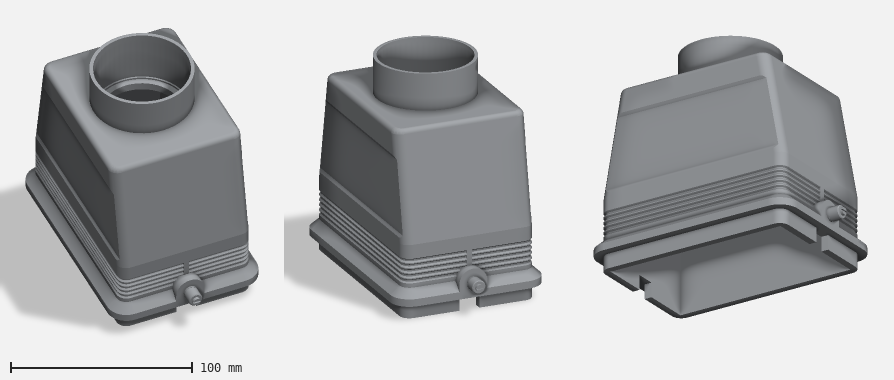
import cadquery as cq
import math

total_height = 129.0
roof_top = 107.2
taper_start = 43.3

body_length = 121.0
body_width = 79.2
roof_length = 97.2
corner_radius = 6.0
roof_fillet = 3.0

flange_width = 90.0
flange_overhang = (flange_width - body_width) / 2
flange_length = body_length + 2 * flange_overhang
flange_bottom = 8.9
flange_edge_top = 13.2
flange_top = 18.0

groove_count = 5
groove_pitch = 3.0
first_groove_center = 21.8
groove_floor = 0.9
groove_flank = 0.8
groove_depth = 0.98
web_width = 3.0

panel_depth = 0.98
panel_bottom = 46.2
panel_top = 92.0
panel_bevel = 2.0

lug_radius = 8.5
pin_height = 17.5
pin_diameter = 8.0
pin_shoulder = 73.6
pin_chamfer = 0.5
pin_reach = 75.2
tip_diameter = 4.4
tip_slot_width = 1.0
tip_slot_depth = 0.9
pin_groove_start = 66.8
pin_groove_width = 0.5
pin_groove_depth = 0.2

neck_diameter = 58.1
bore_diameter = 54.0
bore_seat_diameter = 52.0
cable_hole_diameter = 45.2
ledge_height = 98.5
seat_height = 97.4

wall = 4.5
notch_width = 11.9

cutter_margin = 3.0

end_face = flange_length / 2
lean_angle = math.atan2((body_length - roof_length) / 2, roof_top - taper_start)


def rounded_block(length, width, radius, bottom, height, taper=0):
    """Rectangle with rounded corners, extruded upward from a given height."""
    outline = cq.Sketch().rect(length, width).vertices().fillet(radius)
    return cq.Workplane("XY", origin=(0, 0, bottom)).placeSketch(outline).extrude(height, taper=taper)


def hood_block(base_length, upper_length, width, top):
    """House-shaped X-Z profile extruded symmetrically across the width."""
    return (
        cq.Workplane("XZ")
        .moveTo(-base_length / 2, 0)
        .lineTo(base_length / 2, 0)
        .lineTo(base_length / 2, taper_start)
        .lineTo(upper_length / 2, top)
        .lineTo(-upper_length / 2, top)
        .lineTo(-base_length / 2, taper_start)
        .close()
        .extrude(width / 2, both=True)
    )


def make_body():
    block = hood_block(body_length, roof_length, body_width, roof_top)
    rounded = block.edges("not (|X or |Y)").fillet(corner_radius)
    return rounded.faces(">Z").edges().fillet(roof_fillet)


def make_flange():
    blank = rounded_block(flange_length, flange_width, corner_radius + flange_overhang,
                          flange_bottom, flange_top - flange_bottom)
    return blank.faces(">Z").chamfer(flange_top - flange_edge_top, flange_overhang)


def groove_cutter(center):
    """Trapezoidal groove running round the body, centred on a given height."""
    half_height = groove_floor / 2 + groove_flank
    flank_angle = math.degrees(math.atan2(groove_depth, groove_flank))
    slab = cq.Workplane("XY", origin=(0, 0, center)).box(
        body_length + cutter_margin, body_width + cutter_margin, 2 * half_height)
    lower_flank = rounded_block(body_length, body_width, corner_radius,
                                -half_height, groove_flank, flank_angle)
    floor = rounded_block(body_length - 2 * groove_depth, body_width - 2 * groove_depth,
                          corner_radius - groove_depth, -groove_floor / 2, groove_floor)
    core = lower_flank.union(floor).union(lower_flank.mirror("XY"))
    web = cq.Workplane("XY").box(2 * body_length, web_width, 2 * half_height)
    return slab.cut(core.union(web).translate((0, 0, center)))


def panel_cutter(side):
    """Bevelled recess across one long wall; side is -1 or +1."""
    surface = side * body_width / 2
    floor = side * (body_width / 2 - panel_depth)
    return (
        cq.Workplane("YZ")
        .moveTo(surface, panel_bottom)
        .lineTo(floor, panel_bottom + panel_bevel)
        .lineTo(floor, panel_top - panel_bevel)
        .lineTo(surface, panel_top)
        .close()
        .extrude(body_length / 2, both=True)
    )


def make_lug():
    """Lug on the +X end, flush with the flange edge."""
    root = body_length / 2 - wall / 2
    return (
        cq.Workplane("YZ", origin=(root, 0, 0))
        .moveTo(-lug_radius, flange_bottom)
        .lineTo(lug_radius, flange_bottom)
        .lineTo(lug_radius, pin_height)
        .threePointArc((0, pin_height + lug_radius), (-lug_radius, pin_height))
        .close()
        .extrude(end_face - root)
    )


def make_pin():
    """Pin on the +X end: grooved shank, chamfered shoulder and slotted tip."""
    radius = pin_diameter / 2
    tip_radius = tip_diameter / 2
    groove_end = pin_groove_start + pin_groove_width
    root = body_length / 2
    pin = (
        cq.Workplane("XY")
        .moveTo(root, 0)
        .lineTo(root, radius)
        .lineTo(pin_groove_start, radius)
        .lineTo(pin_groove_start, radius - pin_groove_depth)
        .lineTo(groove_end, radius - pin_groove_depth)
        .lineTo(groove_end, radius)
        .lineTo(pin_shoulder - pin_chamfer, radius)
        .lineTo(pin_shoulder, radius - pin_chamfer)
        .lineTo(pin_shoulder, tip_radius)
        .lineTo(pin_reach, tip_radius)
        .lineTo(pin_reach, 0)
        .close()
        .revolve(360, (0, 0, 0), (1, 0, 0))
    )
    slot = cq.Workplane("XY").box(2 * tip_slot_depth, pin_diameter, tip_slot_width)
    return pin.cut(slot.translate((pin_reach, 0, 0))).translate((0, 0, pin_height))


def make_neck():
    height = total_height - seat_height
    return cq.Workplane("XY", origin=(0, 0, seat_height)).circle(neck_diameter / 2).extrude(height)


def make_bore():
    """Stepped bore: wide neck bore, narrow ledge, flat seat and cable hole."""
    bore_radius = bore_diameter / 2
    seat_radius = bore_seat_diameter / 2
    hole_radius = cable_hole_diameter / 2
    bottom = seat_height - 2 * wall
    return (
        cq.Workplane("XZ")
        .moveTo(0, bottom)
        .lineTo(hole_radius, bottom)
        .lineTo(hole_radius, seat_height)
        .lineTo(seat_radius, seat_height)
        .lineTo(seat_radius, ledge_height)
        .lineTo(bore_radius, ledge_height)
        .lineTo(bore_radius, total_height)
        .lineTo(0, total_height)
        .close()
        .revolve(360, (0, 0, 0), (0, 1, 0))
    )


def make_cavity():
    """Open-bottomed hollow parallel to the outer walls, closed below the seat."""
    ceiling = seat_height - wall
    base_length = body_length - 2 * wall
    upper_length = base_length - 2 * (ceiling - taper_start) * math.tan(lean_angle)
    return hood_block(base_length, upper_length, body_width - 2 * wall, ceiling)


def both_ends(feature):
    return feature.union(feature.mirror("YZ"))


body = make_body()
for side in (-1, 1):
    body = body.cut(panel_cutter(side))
for index in range(groove_count):
    body = body.cut(groove_cutter(first_groove_center + index * groove_pitch))

body = body.union(make_flange()).union(both_ends(make_lug())).union(make_neck())
body = body.cut(make_cavity()).cut(make_bore())

notch = cq.Workplane("XY").box(
    body_length + cutter_margin, notch_width, flange_bottom, centered=(True, True, False))
body = body.cut(notch)

result = body.union(both_ends(make_pin()))